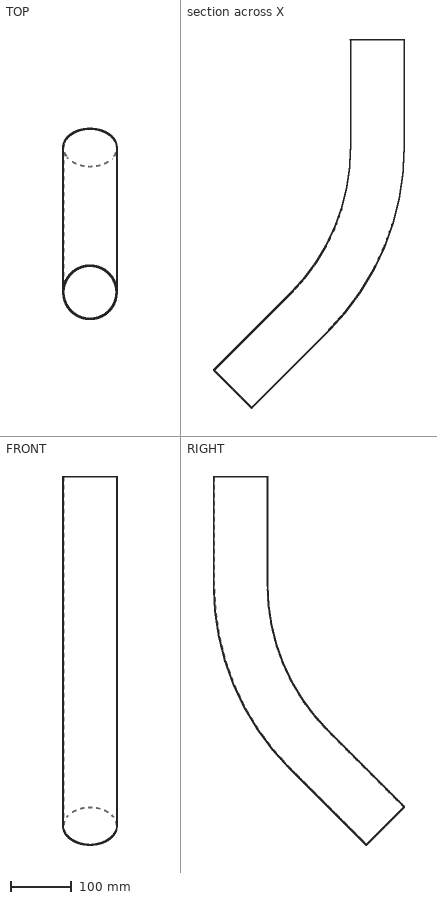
import cadquery as cq
import math

outer_diameter = 88.9
inner_diameter = 85.7
bend_angle = 45.0
bend_radius = 381.0
corner_distance = 335.61

leg_length = corner_distance - bend_radius * math.tan(math.radians(bend_angle / 2))


def arc_point(angle):
    """Centreline point (Y, Z) on the bend, at an angle past the upper leg."""
    turn = math.radians(angle)
    return (bend_radius * (1 - math.cos(turn)), -bend_radius * math.sin(turn))


def make_centreline():
    """Vertical leg, bend towards +Y, then the sloping lower leg."""
    bend_end_y, bend_end_z = arc_point(bend_angle)
    slope = math.radians(bend_angle)
    lower_end = (
        bend_end_y + leg_length * math.sin(slope),
        bend_end_z - leg_length * math.cos(slope),
    )
    return (
        cq.Workplane("YZ")
        .moveTo(0, leg_length)
        .lineTo(0, 0)
        .threePointArc(arc_point(bend_angle / 2), (bend_end_y, bend_end_z))
        .lineTo(*lower_end)
    )


def make_pipe():
    """Ring-shaped section swept along the centreline, open at both ends."""
    section = (
        cq.Workplane("XY", origin=(0, 0, leg_length))
        .circle(outer_diameter / 2)
        .circle(inner_diameter / 2)
    )
    return section.sweep(make_centreline())


result = make_pipe()